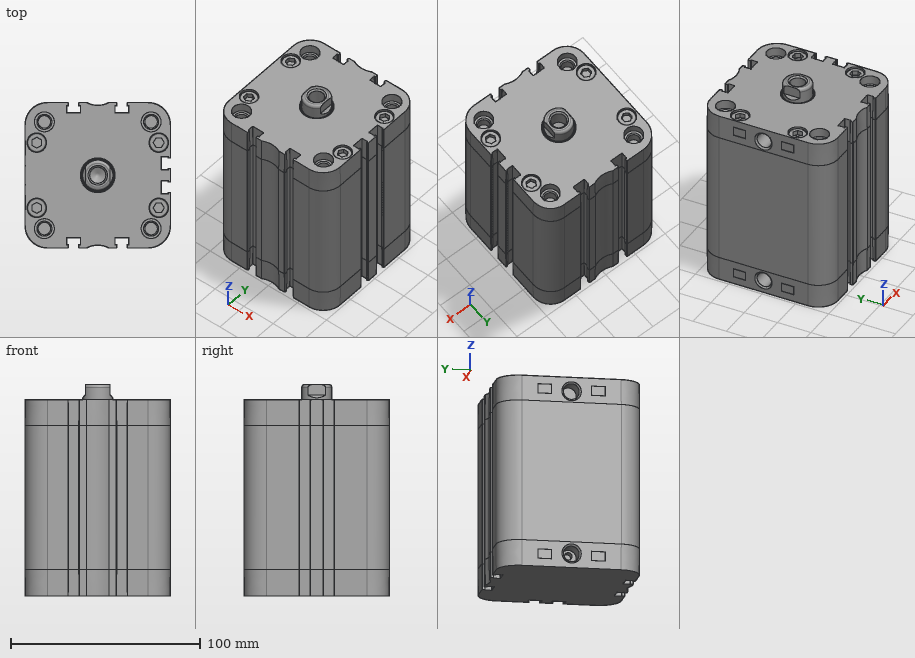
import cadquery as cq
import math

total_height = 112.0
rod_projection = 8.1
front_cap_height = 13.7
rear_cap_height = 14.0
front_face_z = total_height - rod_projection
front_joint_z = front_face_z - front_cap_height
barrel_height = front_joint_z - rear_cap_height

side = 77.0
half_side = side / 2
corner_radius = 11.9
cap_draft_angle = 0.7

slot_mouth = 5.4
slot_mouth_chamfer = 0.3
y_slot_offset = 12.8
y_slot_width = 7.2
y_slot_lip = 1.9
y_slot_depth = 5.4
x_slot_offset = 6.4
x_slot_width = 6.7
x_slot_lip = 1.3
x_slot_depth = 4.8

groove_half_width = 5.9
groove_depth = 1.5

mount_offset = 28.2
mount_counterbore_diameter = 10.5
mount_counterbore_depth = 5.0
mount_chamfer_diameter = 8.0
mount_hole_diameter = 6.6
mount_hole_depth = 11.2

screw_x = 32.3
screw_y = 17.2
screw_pocket_diameter = 10.3
screw_pocket_depth = 1.7
screw_head_diameter = 9.9
screw_head_recess = 0.8
screw_head_edge_radius = 0.3
socket_across_flats = 5.0
socket_depth = 3.4

port_inset = 7.6
port_mouth_diameter = 10.5
port_diameter = 8.5
port_depth = 10.1
port_outlet_diameter = 4.0
port_outlet_depth = 4.5
port_outlet_rise = 1.0

label_offset = 14.5
label_inset = 6.8
label_width = 7.3
label_height = 5.0
label_depth = 0.3

rod_diameter = 16.0
rod_end_radius = 1.7
rod_flat_distance = 13.0
rod_flat_length = 5.6
rod_mouth_diameter = 10.3
rod_hole_diameter = 8.5
rod_hole_depth = 10.1
drill_point_angle = 118.0
wiper_mouth_diameter = 18.4
wiper_floor_diameter = 17.7
wiper_lip_diameter = 16.6
wiper_depth = 0.3
wiper_lip_depth = 0.3


def slot_outline(offset, width, lip, depth):
    """Points of one T-slot in a side lying along +s at height 0, going down into the material."""
    left_mouth = offset - slot_mouth / 2
    right_mouth = offset + slot_mouth / 2
    left_wall = offset - width / 2
    right_wall = offset + width / 2
    return [
        (left_mouth - slot_mouth_chamfer, 0),
        (left_mouth, -slot_mouth_chamfer),
        (left_mouth, -lip),
        (left_wall, -lip),
        (left_wall, -depth),
        (right_wall, -depth),
        (right_wall, -lip),
        (right_mouth, -lip),
        (right_mouth, -slot_mouth_chamfer),
        (right_mouth + slot_mouth_chamfer, 0),
    ]


def body_profile(z):
    """Closed cross-section, drawn clockwise from the left end of the +Y side."""
    straight = half_side - corner_radius
    corner_mid = straight + corner_radius * math.sqrt(0.5)
    y_slots = [
        slot_outline(s * y_slot_offset, y_slot_width, y_slot_lip, y_slot_depth) for s in (-1, 1)
    ]
    x_slots = [
        slot_outline(s * x_slot_offset, x_slot_width, x_slot_lip, x_slot_depth) for s in (-1, 1)
    ]

    def on_top(point):
        return (point[0], half_side + point[1])

    def on_right(point):
        return (half_side + point[1], -point[0])

    def on_bottom(point):
        return (-point[0], -half_side - point[1])

    def add_points(path, points, place):
        for point in points:
            path = path.lineTo(*place(point))
        return path

    def add_grooved_side(path, place):
        path = add_points(path, y_slots[0], place)
        path = path.lineTo(*place((-groove_half_width, 0)))
        path = path.threePointArc(place((0, -groove_depth)), place((groove_half_width, 0)))
        path = add_points(path, y_slots[1], place)
        return path.lineTo(*place((straight, 0)))

    path = cq.Workplane("XY", origin=(0, 0, z)).moveTo(-straight, half_side)
    path = add_grooved_side(path, on_top)
    path = path.threePointArc((corner_mid, corner_mid), (half_side, straight))
    path = add_points(path, x_slots[0], on_right)
    path = add_points(path, x_slots[1], on_right)
    path = path.lineTo(half_side, -straight)
    path = path.threePointArc((corner_mid, -corner_mid), (straight, -half_side))
    path = add_grooved_side(path, on_bottom)
    path = path.threePointArc((-corner_mid, -corner_mid), (-half_side, -straight))
    path = path.lineTo(-half_side, straight)
    path = path.threePointArc((-corner_mid, corner_mid), (-straight, half_side))
    return path.close()


def turned(points):
    """Solid of revolution about Z from (radius, z) points; it is closed along the axis."""
    last_radius, last_z = points[-1]
    outline = [(0, points[0][1])] + points
    if last_radius > 0:
        outline.append((0, last_z))
    return cq.Workplane("XZ").polyline(outline).close().revolve(360, (0, 0), (0, 1))


def mount_hole():
    """Counterbored hole with a chamfered mouth, opening upward at z = 0."""
    chamfer = (mount_chamfer_diameter - mount_hole_diameter) / 2
    chamfer_end = -mount_counterbore_depth - chamfer
    return turned([
        (mount_counterbore_diameter / 2, 0),
        (mount_counterbore_diameter / 2, -mount_counterbore_depth),
        (mount_chamfer_diameter / 2, -mount_counterbore_depth),
        (mount_hole_diameter / 2, chamfer_end),
        (mount_hole_diameter / 2, -mount_hole_depth),
    ])


def screw_head_cut(corner_angle):
    """Material removed around and inside one screw head; corner_angle turns the hexagon."""
    pocket = cq.Workplane("XY").circle(screw_pocket_diameter / 2).extrude(-screw_pocket_depth)
    head = (
        cq.Workplane("XY", origin=(0, 0, -screw_pocket_depth))
        .circle(screw_head_diameter / 2)
        .extrude(screw_pocket_depth - screw_head_recess)
        .faces(">Z")
        .edges()
        .fillet(screw_head_edge_radius)
    )
    across_corners = socket_across_flats / math.cos(math.pi / 6)
    socket = (
        cq.Workplane("XY")
        .polygon(6, across_corners)
        .extrude(-socket_depth)
        .rotate((0, 0, 0), (0, 0, 1), corner_angle)
    )
    return pocket.cut(head).union(socket)


def port_hole(z):
    """Blind port with a chamfered mouth, entering from the -X side."""
    chamfer = (port_mouth_diameter - port_diameter) / 2
    hole = turned([
        (port_mouth_diameter / 2, 0),
        (port_diameter / 2, -chamfer),
        (port_diameter / 2, -port_depth),
    ])
    return hole.rotate((0, 0, 0), (0, 1, 0), -90).translate((-half_side, 0, z))


def label_panels(z):
    """Two shallow rectangular recesses on the -X side."""
    return (
        cq.Workplane("YZ", origin=(-half_side, 0, z))
        .pushPoints([(-label_offset, 0), (label_offset, 0)])
        .rect(label_width, label_height)
        .extrude(label_depth)
    )


def make_barrel():
    return body_profile(rear_cap_height).extrude(barrel_height)


def make_rear_cap():
    cap = body_profile(rear_cap_height).extrude(-rear_cap_height, taper=cap_draft_angle)
    outlet = (
        cq.Workplane("YZ", origin=(-half_side + port_depth, 0, port_inset + port_outlet_rise))
        .circle(port_outlet_diameter / 2)
        .extrude(port_outlet_depth)
    )
    return cap.cut(port_hole(port_inset)).cut(outlet).cut(label_panels(label_inset))


def make_front_cap():
    cap = body_profile(front_joint_z).extrude(front_cap_height, taper=cap_draft_angle)
    cap = cap.cut(port_hole(front_face_z - port_inset))
    cap = cap.cut(label_panels(front_face_z - label_inset))

    for x_sign in (-1, 1):
        corner_angle = 30 if x_sign < 0 else 0
        for y_sign in (-1, 1):
            hole_place = (x_sign * mount_offset, y_sign * mount_offset, front_face_z)
            cap = cap.cut(mount_hole().translate(hole_place))
            screw_place = (x_sign * screw_x, y_sign * screw_y, front_face_z)
            cap = cap.cut(screw_head_cut(corner_angle).translate(screw_place))

    wiper_floor_z = front_face_z - wiper_depth
    wiper_lip_z = wiper_floor_z - wiper_lip_depth
    bore = turned([
        (wiper_mouth_diameter / 2, front_face_z),
        (wiper_floor_diameter / 2, wiper_floor_z),
        (wiper_lip_diameter / 2, wiper_floor_z),
        (wiper_lip_diameter / 2, wiper_lip_z),
        (rod_diameter / 2, wiper_lip_z),
        (rod_diameter / 2, front_joint_z),
    ])
    return cap.cut(bore)


def make_rod():
    rod = (
        cq.Workplane("XY", origin=(0, 0, front_joint_z))
        .circle(rod_diameter / 2)
        .extrude(total_height - front_joint_z)
        .faces(">Z")
        .edges()
        .fillet(rod_end_radius)
    )

    flat_x = rod_flat_distance / 2
    outside = rod_diameter / 2
    flat_end_z = total_height - rod_flat_length
    run_out_z = flat_end_z - (outside - flat_x)
    flat_cut = (
        cq.Workplane("XZ")
        .polyline([
            (flat_x, total_height),
            (flat_x, flat_end_z),
            (outside, run_out_z),
            (outside, total_height),
        ])
        .close()
        .extrude(outside, both=True)
    )
    rod = rod.cut(flat_cut).cut(flat_cut.mirror("YZ"))

    chamfer = (rod_mouth_diameter - rod_hole_diameter) / 2
    hole_radius = rod_hole_diameter / 2
    point_length = hole_radius / math.tan(math.radians(drill_point_angle / 2))
    wall_end_z = total_height - rod_hole_depth
    end_hole = turned([
        (rod_mouth_diameter / 2, total_height),
        (hole_radius, total_height - chamfer),
        (hole_radius, wall_end_z),
        (0, wall_end_z - point_length),
    ])
    return rod.cut(end_hole)


barrel = make_barrel()
rear_cap = make_rear_cap()
front_cap = make_front_cap()
rod = make_rod()

result = cq.Compound.makeCompound([barrel.val(), rear_cap.val(), front_cap.val(), rod.val()])